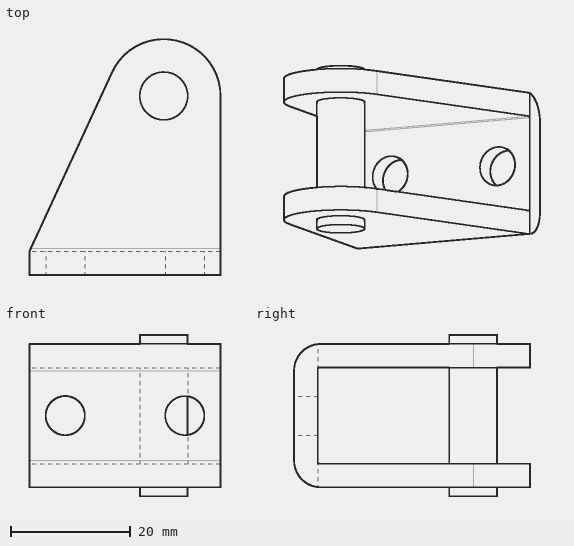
import cadquery as cq
import math

width = 32.0
depth = 39.5
height = 24.0
thickness = 4.0
bend_outer_radius = 4.5
bend_inner_radius = 0.2

ear_radius = 9.5
slant_start = thickness

pin_diameter = 8.0
pin_length = 27.0
pin_x = width - ear_radius
pin_y = depth - ear_radius

hole_diameter = 6.5
hole_spacing = 20.0
first_hole_x = 6.0


def make_channel():
    """Bent U section running along X."""
    outer = (
        cq.Workplane("XY")
        .box(width, depth, height, centered=(False, False, True))
        .edges("|X and <Y")
        .fillet(bend_outer_radius)
    )
    inner = (
        cq.Workplane("XY")
        .box(width, depth, height - 2 * thickness, centered=(False, False, True))
        .edges("|X and <Y")
        .fillet(bend_inner_radius)
        .translate((0, thickness, 0))
    )
    return outer.cut(inner)


def make_ear_outline():
    """Prism with the plan shape of the bracket, used to trim the channel."""
    pin_rise = pin_y - slant_start
    pin_distance = math.hypot(pin_x, pin_rise)
    slant_angle = math.atan2(pin_rise, pin_x) + math.asin(ear_radius / pin_distance)
    tangent_x = pin_x - ear_radius * math.sin(slant_angle)
    tangent_y = pin_y + ear_radius * math.cos(slant_angle)
    return (
        cq.Workplane("XY")
        .workplane(offset=-height / 2)
        .lineTo(width, 0)
        .lineTo(width, pin_y)
        .threePointArc((pin_x, depth), (tangent_x, tangent_y))
        .lineTo(0, slant_start)
        .close()
        .extrude(height)
    )


def make_mounting_holes():
    """Two cutters passing through the web along Y."""
    hole_xs = (first_hole_x, first_hole_x + hole_spacing)
    return (
        cq.Workplane("XZ")
        .pushPoints([(x, 0) for x in hole_xs])
        .circle(hole_diameter / 2)
        .extrude(-2 * thickness)
    )


def make_pin():
    """Pin through both ears, standing proud equally at each end."""
    return (
        cq.Workplane("XY")
        .center(pin_x, pin_y)
        .circle(pin_diameter / 2)
        .extrude(pin_length / 2, both=True)
    )


bracket = make_channel().intersect(make_ear_outline()).cut(make_mounting_holes())
result = bracket.union(make_pin())